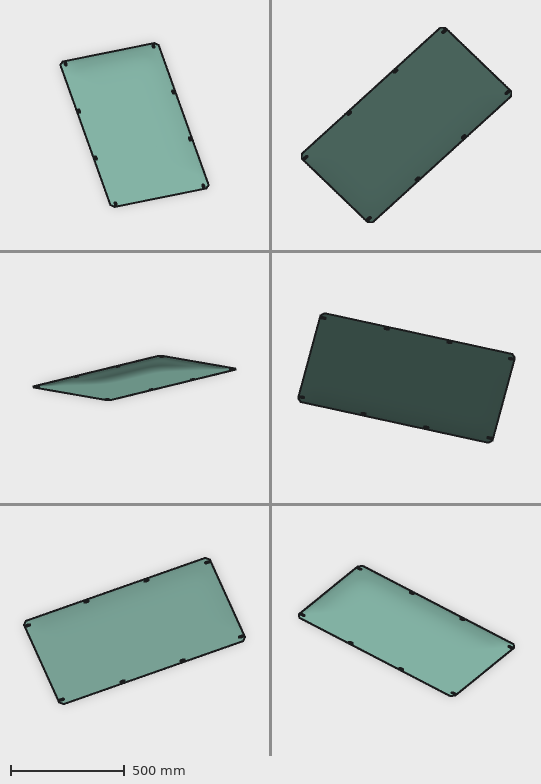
import cadquery as cq

plate_length = 880.0
plate_width = 448.0
plate_thickness = 1.5
corner_cut = 16.0

slot_length = 19.0
slot_width = 7.0

corner_slot_x = 424.0
corner_slot_y = 200.0

edge_slot_x = 142.0
edge_slot_y = 215.0


def make_plate():
    """Flat plate with its four corners cut at 45 degrees."""
    plate = cq.Workplane("XY").box(plate_length, plate_width, plate_thickness)
    return plate.edges("|Z").chamfer(corner_cut)


def cut_four_slots(body, x, y):
    """Cut round-ended through slots mirrored about both centre lines."""
    centres = [(side_x * x, side_y * y) for side_x in (-1, 1) for side_y in (-1, 1)]
    top = body.faces(">Z").workplane()
    return top.pushPoints(centres).slot2D(slot_length, slot_width).cutThruAll()


result = make_plate()
result = cut_four_slots(result, corner_slot_x, corner_slot_y)
result = cut_four_slots(result, edge_slot_x, edge_slot_y)